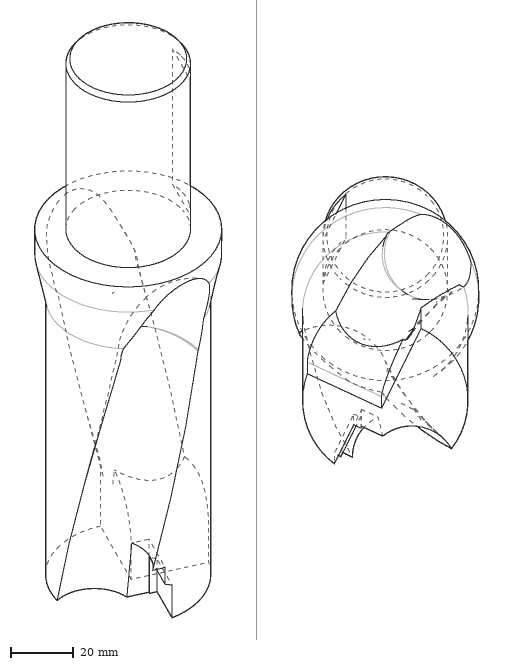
import cadquery as cq
import math

total_height = 210.5
shank_radius = 20.0
collar_diameter = 60.0
collar_radius = collar_diameter / 2
collar_top = 141.0
collar_bottom = 130.8
cone_bottom = 113.0
body_radius = 26.5
top_chamfer_height = 2.0
top_chamfer_width = 1.3

flat_offset = 18.1
flat_bottom = 148.2
flat_top = 203.5

flute_radius = 14.5
flute_center_radius = 24.5
flute_twist = 54.0
flute_base_angle = 134.0
flute_top = 108.2
runout_bend_radius = 19.8
runout_sweep = 80.0
runout_lean = 22.0

seat_face_x = 2.7
seat_wall_y = 0.0
seat_flat_height = 14.7
seat_height = 32.8
seat_arc_radius = 18.3

pocket_inner_x = 11.0
pocket_height = 21.7
pocket_face_y = 3.2
insert_inner_x = 11.5
insert_height = 13.5
insert_face_y = 5.7
step_chamfer_height = 1.3

cut_reach = 2 * collar_radius


def make_body():
    """Body, cone, collar and chamfered shank as one revolved outline."""
    return (
        cq.Workplane("XZ")
        .moveTo(0, 0)
        .lineTo(body_radius, 0)
        .lineTo(body_radius, cone_bottom)
        .lineTo(collar_radius, collar_bottom)
        .lineTo(collar_radius, collar_top)
        .lineTo(shank_radius, collar_top)
        .lineTo(shank_radius, total_height - top_chamfer_height)
        .lineTo(shank_radius - top_chamfer_width, total_height)
        .lineTo(0, total_height)
        .close()
        .revolve(360, (0, 0, 0), (0, 1, 0))
    )


def make_shank_flat():
    return (
        cq.Workplane("XY")
        .workplane(offset=flat_bottom)
        .center(0, flat_offset + shank_radius / 2)
        .rect(2 * shank_radius, shank_radius)
        .extrude(flat_top - flat_bottom)
    )


def cut_flute(body, base_angle):
    """Cut a helical channel and its outward bend, with a ball blending the joint."""
    channel = (
        cq.Workplane("XY")
        .moveTo(flute_center_radius, 0)
        .circle(flute_radius)
        .twistExtrude(flute_top, flute_twist)
        .rotate((0, 0, 0), (0, 0, 1), base_angle)
    )
    bend_axis_x = flute_center_radius + runout_bend_radius
    runout = (
        cq.Workplane("XY")
        .moveTo(flute_center_radius, 0)
        .circle(flute_radius)
        .revolve(runout_sweep, (bend_axis_x, 0, 0), (bend_axis_x, 1, 0))
        .rotate((0, 0, 0), (1, 0, 0), -runout_lean)
        .translate((0, 0, flute_top))
        .rotate((0, 0, 0), (0, 0, 1), base_angle + flute_twist)
    )
    joint_angle = math.radians(base_angle + flute_twist)
    joint_center = (
        flute_center_radius * math.cos(joint_angle),
        flute_center_radius * math.sin(joint_angle),
        flute_top,
    )
    joint = cq.Workplane("XY").sphere(flute_radius).translate(joint_center)
    return body.cut(channel).cut(runout).cut(joint)


def make_insert_seat():
    """Flat seat whose face curves outward to meet the flute above it."""
    arc_center_x = seat_face_x - seat_arc_radius
    seat_rise = seat_height - seat_flat_height
    seat_end_x = arc_center_x + math.sqrt(seat_arc_radius**2 - seat_rise**2)
    half_angle = math.asin(seat_rise / seat_arc_radius) / 2
    arc_middle = (
        arc_center_x + seat_arc_radius * math.cos(half_angle),
        seat_flat_height + seat_arc_radius * math.sin(half_angle),
    )
    return (
        cq.Workplane("XZ", origin=(0, seat_wall_y, 0))
        .moveTo(-cut_reach, 0)
        .lineTo(seat_face_x, 0)
        .lineTo(seat_face_x, seat_flat_height)
        .threePointArc(arc_middle, (seat_end_x, seat_height))
        .lineTo(-cut_reach, seat_height)
        .close()
        .extrude(-cut_reach)
    )


def make_insert_pocket():
    """Upper pocket plus a deeper insert recess joined by a sloping step."""
    upper = (
        cq.Workplane("XY")
        .box(cut_reach, cut_reach, pocket_height, centered=False)
        .translate((pocket_inner_x, pocket_face_y - cut_reach, 0))
    )
    recess = (
        cq.Workplane("YZ", origin=(insert_inner_x, 0, 0))
        .moveTo(pocket_face_y, 0)
        .lineTo(insert_face_y, 0)
        .lineTo(insert_face_y, insert_height)
        .lineTo(pocket_face_y, insert_height + step_chamfer_height)
        .close()
        .extrude(cut_reach)
    )
    return upper.union(recess)


result = make_body().cut(make_shank_flat())
for half_turn in (0, 180):
    result = cut_flute(result, flute_base_angle + half_turn)
result = result.cut(make_insert_seat()).cut(make_insert_pocket())